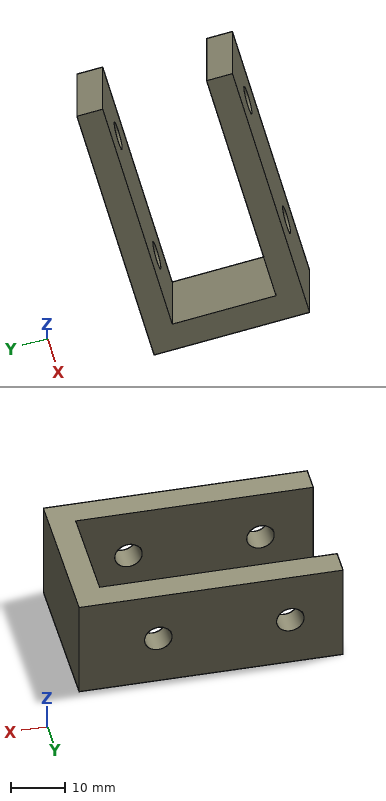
import cadquery as cq

length = 50.0
width = 30.0
height = 20.0
wall = 5.0

hole_diameter = 5.2
first_hole_x = 10.0
hole_spacing = 25.0

block = cq.Workplane("XY").box(length, width, height).translate((length / 2, 0, 0))

slot_length = length - wall
slot_width = width - 2 * wall
slot = cq.Workplane("XY").box(slot_length, slot_width, height).translate((slot_length / 2, 0, 0))

hole_centres = [(first_hole_x, 0), (first_hole_x + hole_spacing, 0)]
holes = (
    cq.Workplane("XZ")
    .pushPoints(hole_centres)
    .circle(hole_diameter / 2)
    .extrude(width / 2, both=True)
)

result = block.cut(slot).cut(holes)